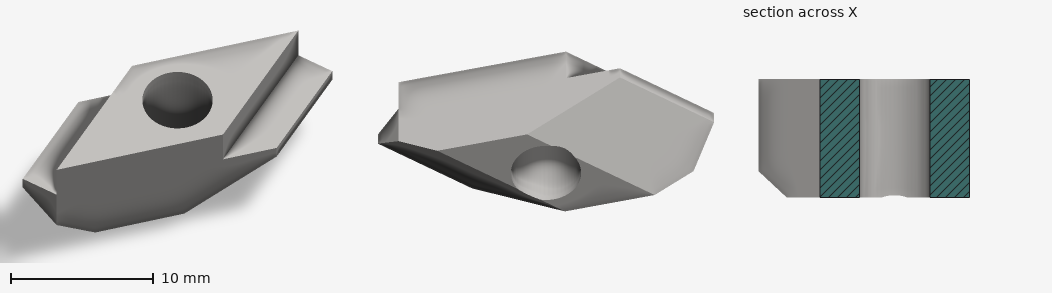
import cadquery as cq

width = 14.0
length = 19.0
height = 8.3

neck_width = 8.51
neck_height = 2.9
flange_edge_height = 1.0
foot_width = 4.56

hole_diameter = 4.92

half_width = width / 2
half_length = length / 2
half_neck = neck_width / 2
half_foot = foot_width / 2
flange_top = height - neck_height
flange_bottom = flange_top - flange_edge_height

corner_cut = half_width + half_neck
cut_end = half_length - corner_cut


def make_bar():
    """T-slot section, symmetric about the YZ plane, extruded along Y."""
    right_side = [
        (half_foot, 0),
        (half_width, flange_bottom),
        (half_width, flange_top),
        (half_neck, flange_top),
        (half_neck, height),
    ]
    left_side = [(-x, z) for x, z in reversed(right_side)]
    section = cq.Workplane("XZ").polyline(right_side + left_side).close()
    return section.extrude(half_length, both=True)


def make_plan():
    """Six-sided plan, unchanged by a half turn about Z."""
    upper_half = [
        (-half_width, cut_end),
        (half_neck, half_length),
        (half_width, half_length),
    ]
    lower_half = [(-x, -y) for x, y in upper_half]
    return cq.Workplane("XY").polyline(upper_half + lower_half).close().extrude(height)


hole = cq.Workplane("XY").circle(hole_diameter / 2).extrude(height)

result = make_bar().intersect(make_plan()).cut(hole)